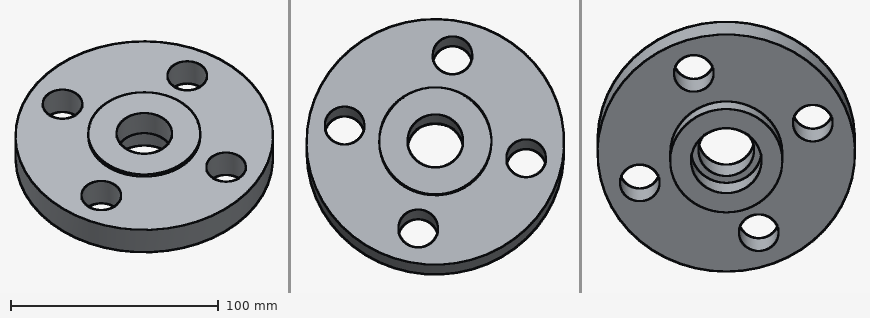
import cadquery as cq

FLANGE_DIAMETER = 124.0
OVERALL_HEIGHT = 26.92
RAISED_FACE_HEIGHT = 1.6
FLANGE_THICKNESS = 15.9

HUB_DIAMETER = 54.0
HUB_HEIGHT = OVERALL_HEIGHT - FLANGE_THICKNESS - RAISED_FACE_HEIGHT

BORE_DIAMETER = 26.7
SOCKET_DIAMETER = 33.9
SOCKET_DEPTH = 12.7

BOLT_COUNT = 4
BOLT_HOLE_DIAMETER = 19.05
BOLT_CIRCLE_DIAMETER = 88.9
FIRST_BOLT_ANGLE = 45.0


def cylinder(diameter, bottom, height):
    """Solid cylinder about Z, rising from the given level."""
    return cq.Workplane("XY").workplane(offset=bottom).circle(diameter / 2).extrude(height)


def flange_body():
    """Full-height hub cylinder joined to the wide disc."""
    hub = cylinder(HUB_DIAMETER, 0, OVERALL_HEIGHT)
    disc = cylinder(FLANGE_DIAMETER, HUB_HEIGHT, FLANGE_THICKNESS)
    return hub.union(disc)


def stepped_bore():
    """Through bore with the wider socket at the hub end."""
    bore = cylinder(BORE_DIAMETER, 0, OVERALL_HEIGHT)
    socket = cylinder(SOCKET_DIAMETER, 0, SOCKET_DEPTH)
    return bore.union(socket)


def bolt_holes():
    """Ring of through holes for the bolts."""
    return (
        cq.Workplane("XY")
        .polarArray(BOLT_CIRCLE_DIAMETER / 2, FIRST_BOLT_ANGLE, 360, BOLT_COUNT)
        .circle(BOLT_HOLE_DIAMETER / 2)
        .extrude(OVERALL_HEIGHT)
    )


result = flange_body().cut(stepped_bore()).cut(bolt_holes())